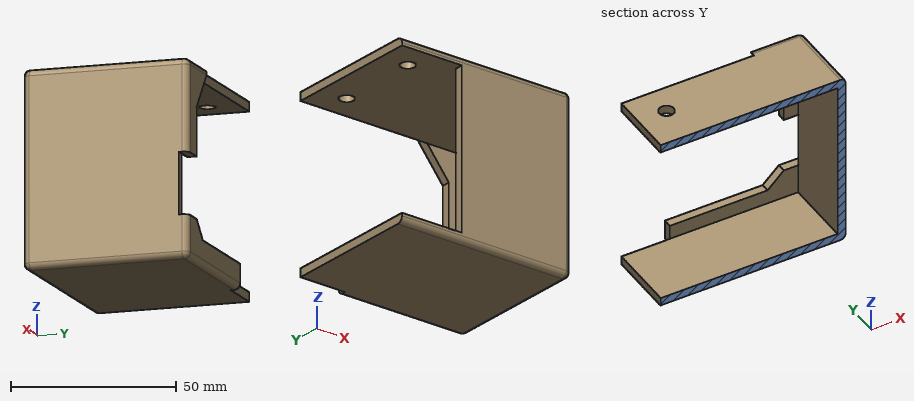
import cadquery as cq

length = 65.0
depth = 53.0
height = 62.0
edge_radius = 2.0

wall = 3.0

front_wall_start = 23.0

hole_diameter = 5.0
hole_x = 10.0
hole_edge_distance = 10.0
hole_spacing = 30.0
hole_count = 2

ledge_start = 17.0
ledge_height = 8.0
window_bottom = 13.4
window_top = 32.8
slope_top_height = 48.3
upper_slope_start = 46.4
opening_end = 57.0
lower_slope_start = 51.3


def box_between(low, high):
    """Axis-aligned box spanning two opposite corners."""
    size = [b - a for a, b in zip(low, high)]
    return cq.Workplane("XY").box(*size, centered=False).translate(low)


def rounded_shell():
    """Box rounded on every edge except the open -X end, then hollowed through that end."""
    outer = box_between((0, 0, 0), (length, depth, height))
    outer = outer.edges("|X or >X").fillet(edge_radius)
    cavity = box_between(
        (0, wall, wall),
        (length - wall, depth - wall, height - wall),
    )
    return outer.cut(cavity)


def front_wall_cutout():
    """Removes the front wall between the plates near the open end."""
    return box_between((0, 0, wall), (front_wall_start, wall, height - wall))


def back_wall_cutout():
    """Stepped and sloped opening that leaves a low ledge and runs out through the +X end."""
    outline = [
        (0, 0),
        (ledge_start, 0),
        (ledge_start, ledge_height),
        (lower_slope_start, ledge_height),
        (opening_end, window_bottom),
        (length, window_bottom),
        (length, window_top),
        (opening_end, window_top),
        (opening_end, slope_top_height),
        (upper_slope_start, height),
        (0, height),
    ]
    return cq.Workplane("XZ", origin=(0, depth, 0)).polyline(outline).close().extrude(wall)


def mounting_holes():
    """Pair of vertical cylinders crossing the top plate."""
    centers = [(hole_x, hole_edge_distance + i * hole_spacing) for i in range(hole_count)]
    return (
        cq.Workplane("XY", origin=(0, 0, height - wall))
        .pushPoints(centers)
        .circle(hole_diameter / 2)
        .extrude(wall)
    )


result = rounded_shell().cut(front_wall_cutout()).cut(back_wall_cutout()).cut(mounting_holes())